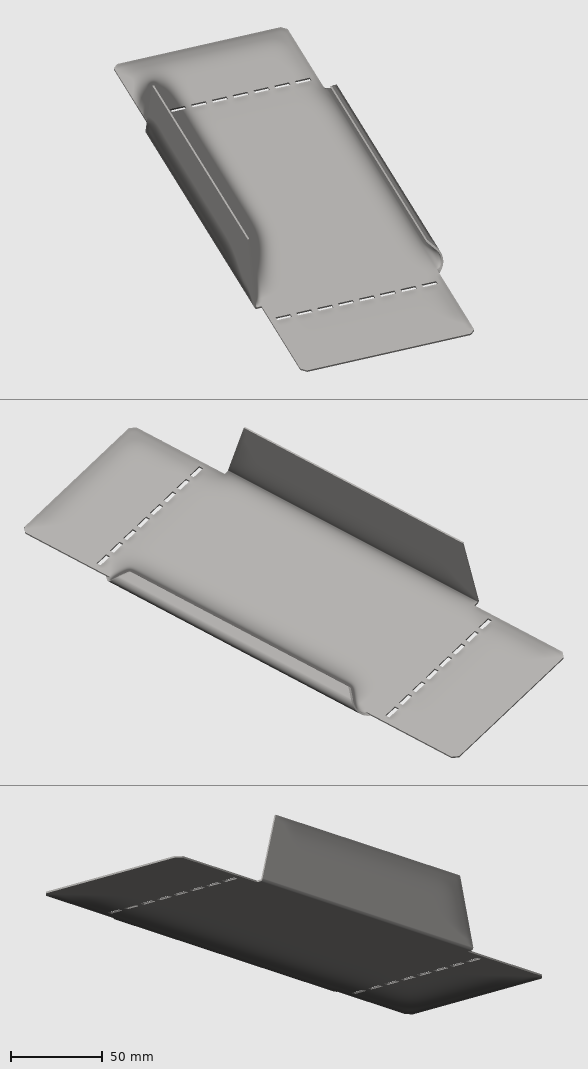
import cadquery as cq
import math

sheet = 1.0
length = 295.0
plate_depth = 101.0
corner_chamfer = 3.0

slot_x = 98.0
slot_width = 2.7
slot_length = 8.5
slot_count = 8
slot_pitch = 12.0
slot_row_offset = -0.3

flap_reach = 4.0
flap_height = 40.0
flap_base_half = 84.7
flap_top_half = 74.0
flap_bend_radius = 1.5

curl_radius = 5.0
curl_past_vertical = 50.0
lip_length = 5.3
curl_base_half = 89.7
curl_taper = 0.9
trim_steps = 12

front_y = -plate_depth / 2
back_y = plate_depth / 2


def make_plate():
    plate = cq.Workplane("XY").box(length, plate_depth, sheet, centered=(True, True, False))
    plate = plate.edges("|Z").chamfer(corner_chamfer)
    for x in (-slot_x, slot_x):
        slots = (
            cq.Workplane("XY")
            .center(x, slot_row_offset)
            .rarray(3, slot_pitch, 1, slot_count)
            .rect(slot_width, slot_length)
            .extrude(sheet)
        )
        plate = plate.cut(slots)
    return plate


def make_flap():
    outer_y = front_y - flap_reach
    inner_y = outer_y + sheet
    bend_y = outer_y + flap_bend_radius
    inner_radius = flap_bend_radius - sheet
    diagonal = math.sqrt(0.5)
    section = (
        cq.Workplane("YZ")
        .moveTo(front_y, 0)
        .lineTo(bend_y, 0)
        .threePointArc(
            (bend_y - flap_bend_radius * diagonal, flap_bend_radius * (1 - diagonal)),
            (outer_y, flap_bend_radius),
        )
        .lineTo(outer_y, flap_height)
        .lineTo(inner_y, flap_height)
        .lineTo(inner_y, flap_bend_radius)
        .threePointArc(
            (bend_y - inner_radius * diagonal, flap_bend_radius - inner_radius * diagonal),
            (bend_y, sheet),
        )
        .lineTo(front_y, sheet)
        .close()
        .extrude(flap_base_half, both=True)
    )
    silhouette = (
        cq.Workplane("XZ", origin=(0, front_y, 0))
        .polyline([
            (-flap_base_half, 0),
            (flap_base_half, 0),
            (flap_base_half, flap_bend_radius),
            (flap_top_half, flap_height),
            (-flap_top_half, flap_height),
            (-flap_base_half, flap_bend_radius),
        ])
        .close()
        .extrude(flap_reach)
    )
    return section.intersect(silhouette)


def curl_point(radius, angle, along=0.0):
    """Point at an angle around the bend, then a distance along the tangent there."""
    y = back_y + radius * math.sin(angle) + along * math.cos(angle)
    z = curl_radius - radius * math.cos(angle) + along * math.sin(angle)
    return (y, z)


def make_curl():
    end_angle = math.radians(90 + curl_past_vertical)
    inner_radius = curl_radius - sheet
    section = (
        cq.Workplane("YZ")
        .moveTo(*curl_point(curl_radius, 0))
        .threePointArc(curl_point(curl_radius, end_angle / 2), curl_point(curl_radius, end_angle))
        .lineTo(*curl_point(curl_radius, end_angle, lip_length))
        .lineTo(*curl_point(inner_radius, end_angle, lip_length))
        .lineTo(*curl_point(inner_radius, end_angle))
        .threePointArc(curl_point(inner_radius, end_angle / 2), curl_point(inner_radius, 0))
        .close()
        .extrude(curl_base_half, both=True)
    )
    side = []
    for step in range(trim_steps + 1):
        angle = end_angle * step / trim_steps
        half_width = curl_base_half - curl_taper * curl_radius * angle
        side.append((half_width, curl_point(curl_radius, angle)[1]))
    tip_half = curl_base_half - curl_taper * (curl_radius * end_angle + lip_length)
    tip_z = curl_point(curl_radius, end_angle, lip_length)[1]
    side.append((tip_half, tip_z))
    mirrored_side = [(-x, z) for x, z in reversed(side)]
    silhouette = (
        cq.Workplane("XZ", origin=(0, back_y, 0))
        .polyline(side + mirrored_side)
        .close()
        .extrude(2 * curl_radius, both=True)
    )
    return section.intersect(silhouette)


result = make_plate().union(make_flap()).union(make_curl())